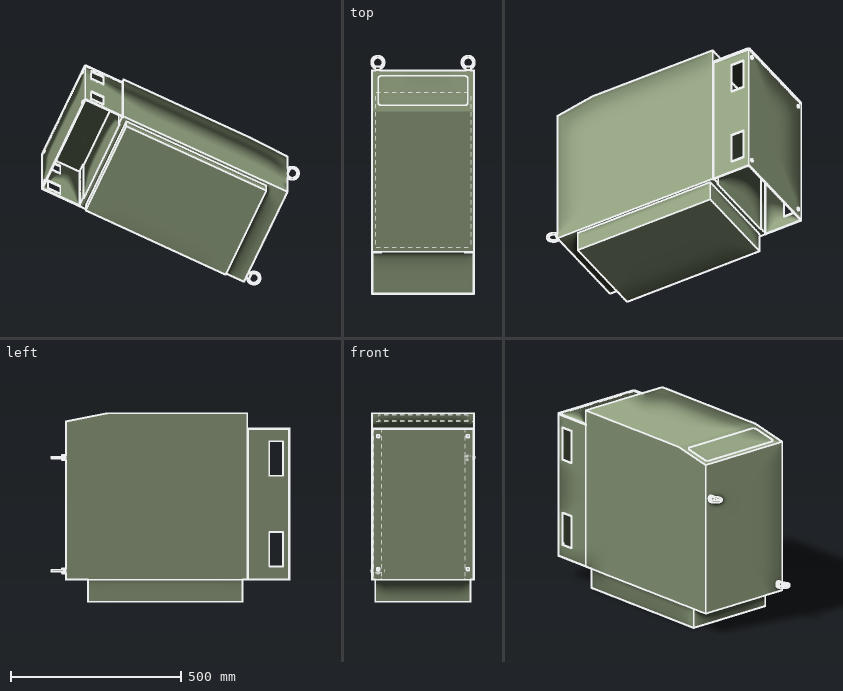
import cadquery as cq
import math


body_width = 300.0
body_depth = 533.0
body_height = 445.0
cover_depth = 125.0

plinth_height = 65.0
plinth_side_inset = 10.0
plinth_front_inset = 14.0
plinth_back_inset = 64.5

hood_height = 43.5
slope_run = 120.5
slope_drop = 24.0

panel_side_margin = 18.0
panel_back_margin = 16.0
panel_front_margin = 18.0
panel_corner_radius = 10.0
panel_recess = 1.0

sheet = 3.0
bend_radius = 3.85
flange_width = 27.0
lid_recess = 1.0

opening_depth = 40.0
opening_height = 100.0
opening_front_margin = 20.0
opening_end_margin = 39.0
screw_hole_diameter = 9.0
screw_side_margin = 18.0
screw_top_margin = 24.0
screw_bottom_margin = 31.0

ring_diameter = 40.0
ring_wire = 6.0
eyebolt_reach = 43.5
eyebolt_side_margin = 17.5
eyebolt_top_margin = 87.0
eyebolt_bottom_margin = 26.0
collar_diameter = 16.0
collar_length = 12.0
collar_end_diameter = 12.5

half_width = body_width / 2
body_front = cover_depth
body_back = body_front + body_depth
body_bottom = plinth_height
body_top = body_bottom + body_height
hood_top = body_top + hood_height


def box(x0, x1, y0, y1, z0, z1):
    """Box between two opposite corners."""
    return cq.Workplane("XY").box(x1 - x0, y1 - y0, z1 - z0, centered=False).translate((x0, y0, z0))


def cabinet():
    """Body and hood in one side profile, standing on the plinth."""
    profile = [
        (body_front, body_bottom),
        (body_back, body_bottom),
        (body_back, hood_top - slope_drop),
        (body_back - slope_run, hood_top),
        (body_front, hood_top),
    ]
    body = cq.Workplane("YZ").polyline(profile).close().extrude(half_width, both=True)
    plinth_half_width = half_width - plinth_side_inset
    plinth = box(
        -plinth_half_width, plinth_half_width,
        body_front + plinth_front_inset, body_back - plinth_back_inset,
        0, body_bottom,
    )
    return body.union(plinth)


def panel_cut():
    """Rounded rectangle sunk square to the sloped face of the hood."""
    slope_length = math.hypot(slope_run, slope_drop)
    panel_length = slope_length - panel_back_margin - panel_front_margin
    slope_plane = cq.Plane(
        origin=(0, body_back, hood_top - slope_drop),
        xDir=(-1, 0, 0),
        normal=(0, slope_drop, slope_run),
    )
    outline = (
        cq.Sketch()
        .rect(body_width - 2 * panel_side_margin, panel_length)
        .vertices()
        .fillet(panel_corner_radius)
    )
    return (
        cq.Workplane(slope_plane)
        .center(0, panel_back_margin + panel_length / 2)
        .placeSketch(outline)
        .extrude(-panel_recess)
    )


def front_cover():
    """Bent sheet with rear flanges and a lid, open underneath."""
    inner_half_width = half_width - sheet
    shell = box(-half_width, half_width, 0, body_front, body_bottom, body_top)
    shell = shell.edges("|Z").fillet(bend_radius)
    cavity = box(-inner_half_width, inner_half_width, sheet, body_front - sheet, body_bottom, body_top)
    flange_limit = half_width - flange_width
    flange_gap = box(-flange_limit, flange_limit, body_front - sheet, body_front, body_bottom, body_top)
    lid_top = body_top - lid_recess
    lid = box(-inner_half_width, inner_half_width, sheet, body_front, lid_top - sheet, lid_top)
    return shell.cut(cavity).cut(flange_gap).union(lid)


def opening_cuts():
    """Upper and lower openings through both sides of the cover."""
    cuts = cq.Workplane("XY")
    upper = body_top - opening_end_margin - opening_height
    lower = body_bottom + opening_end_margin
    for z in (upper, lower):
        cuts = cuts.add(box(
            -half_width, half_width,
            opening_front_margin, opening_front_margin + opening_depth,
            z, z + opening_height,
        ))
    return cuts.combine()


def screw_cuts():
    """Four screw holes through the front sheet."""
    x = half_width - screw_side_margin
    corners = [
        (side * x, z)
        for side in (-1, 1)
        for z in (body_top - screw_top_margin, body_bottom + screw_bottom_margin)
    ]
    return cq.Workplane("XZ").pushPoints(corners).circle(screw_hole_diameter / 2).extrude(-sheet)


def eyebolt(x, z):
    """Chamfered collar and ring projecting from the back; the ring lies flat in XY."""
    back = cq.Workplane("XZ", origin=(x, body_back, z))
    collar = back.circle(collar_diameter / 2).extrude(-collar_length)
    collar = collar.edges("%CIRCLE").chamfer((collar_diameter - collar_end_diameter) / 2)
    ring_centre = cq.Vector(x, body_back + eyebolt_reach - ring_diameter / 2, z)
    ring_radius = (ring_diameter - ring_wire) / 2
    ring = cq.Workplane(cq.Solid.makeTorus(ring_radius, ring_wire / 2, ring_centre, cq.Vector(0, 0, 1)))
    return collar.union(ring)


eyebolt_x = half_width - eyebolt_side_margin
lower_eyebolt = eyebolt(-eyebolt_x, body_bottom + eyebolt_bottom_margin)
upper_eyebolt = eyebolt(eyebolt_x, body_top - eyebolt_top_margin)

cover = front_cover().cut(opening_cuts()).cut(screw_cuts())
result = cabinet().cut(panel_cut()).union(cover).union(lower_eyebolt).union(upper_eyebolt)